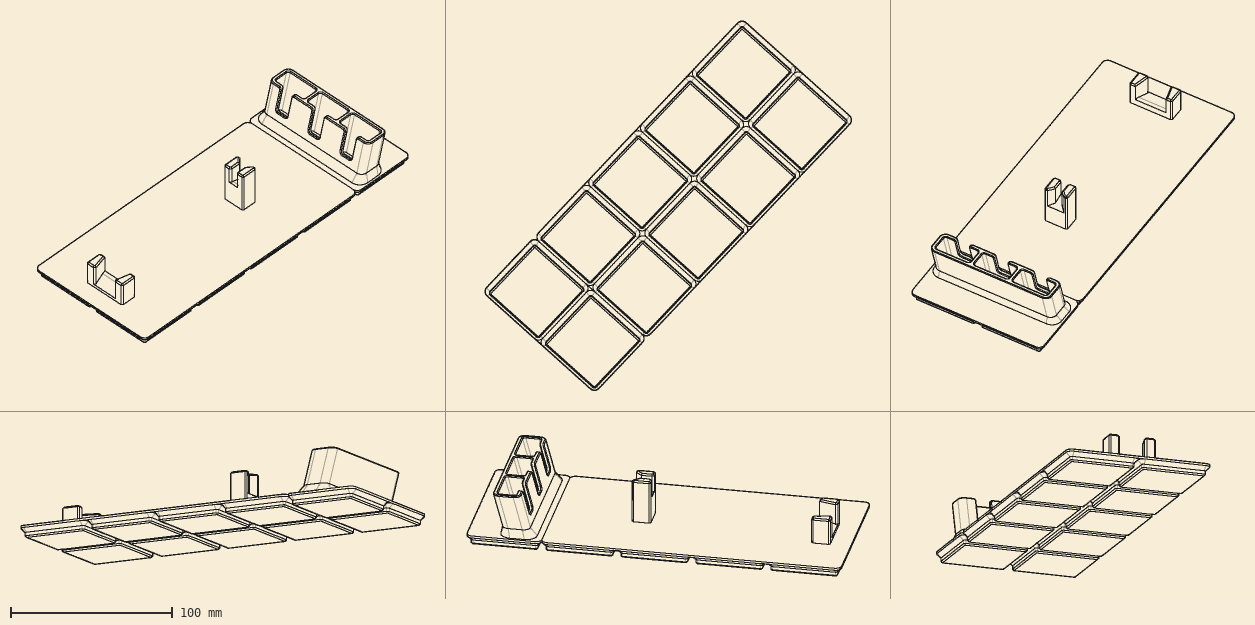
import cadquery as cq
import math

PITCH = 47.3
COLUMNS = 2
SMALL_ROWS = 1
LARGE_ROWS = 4
PLATE_TOP = 7.0
SHEET_BOTTOM = 5.7
PLATE_RADIUS = 3.8
FOOT_FLARE = 2.5
FOOT_CHAMFER = 1.0
PLATE_WIDTH = COLUMNS * PITCH
PLATE_LENGTH = (SMALL_ROWS + LARGE_ROWS) * PITCH
SEAM_Y = PLATE_LENGTH / 2 - SMALL_ROWS * PITCH

LEAN = math.tan(math.radians(15.0))
HOLDER_WIDTH = 86.0
HOLDER_DEPTH = 17.5
HOLDER_RADIUS = 4.3
HOLDER_TOP = 34.5
HOLDER_Y = 88.0
HOLDER_CHAMFER = 0.6
WALL = 2.8
CELLS = 3
CELL_RADIUS = 1.7
CELL_WIDTH = (HOLDER_WIDTH - (CELLS + 1) * WALL) / CELLS
CELL_DEPTH = HOLDER_DEPTH - 2 * WALL
CELL_PITCH = CELL_WIDTH + WALL
NOTCH_WIDTH = 9.5
NOTCH_BOTTOM = 17.7
NOTCH_RADIUS = 2.0
LIP_RADIUS = 2.0
SKIRT_TOP = 12.3
SKIRT_WIDTH = 91.5
SKIRT_DEPTH = 23.0
SKIRT_Y = 86.3
SKIRT_RADIUS = 6.9

POST_DEPTH = 11.8
POST_CHAMFER = 1.0
MOUTH_CHAMFER = 1.2
TALL_WIDTH = 16.3
TALL_TOP = 35.2
TALL_Y = 15.4
TALL_SLOT = 5.0
TALL_SLOT_BACK = 11.8
TALL_FLARE_DEPTH = 3.8
TALL_FLOOR = 23.5
TALL_LEDGE = 2.1
FORK_WIDTH = 30.7
FORK_TOP = 23.9
FORK_Y = -99.3
FORK_SLOT = 16.5
FORK_SLOT_BACK = 22.0
FORK_FLOOR = 11.5
FORK_LEDGE = 2.8


def rounded_prism(width, length, radius, bottom, top):
    """Upright block centred on the origin with rounded vertical edges."""
    block = cq.Workplane("XY").workplane(offset=bottom).rect(width, length).extrude(top - bottom)
    return block.edges("|Z").fillet(radius)


def make_foot():
    """One grid foot: chamfered bottom, straight wall, then a flare to the full cell."""
    wall_size = PITCH - 2 * FOOT_FLARE
    wall_radius = PLATE_RADIUS - FOOT_FLARE
    flare_bottom = SHEET_BOTTOM - FOOT_FLARE
    wall = rounded_prism(wall_size, wall_size, wall_radius, 0, SHEET_BOTTOM)
    wall = wall.faces("<Z").edges().chamfer(FOOT_CHAMFER)
    flare = rounded_prism(PITCH, PITCH, PLATE_RADIUS, flare_bottom, PLATE_TOP)
    flare = flare.faces("<Z").edges().chamfer(FOOT_FLARE)
    return wall.union(flare)


def make_plate(rows, centre_y):
    """Flat sheet with one foot under every grid cell."""
    plate = rounded_prism(PLATE_WIDTH, rows * PITCH, PLATE_RADIUS, SHEET_BOTTOM, PLATE_TOP)
    foot = make_foot()
    for column in range(COLUMNS):
        for row in range(rows):
            x = (column - (COLUMNS - 1) / 2) * PITCH
            y = (row - (rows - 1) / 2) * PITCH
            plate = plate.union(foot.translate((x, y, 0)))
    return plate.translate((0, centre_y, 0))


def rounded_wire(width, depth, radius, x, y, z):
    """Horizontal rounded rectangle."""
    block = rounded_prism(width, depth, radius, 0, 2.4)
    return block.faces("<Z").wires().val().translate(cq.Vector(x, y, z))


def lean_y(z):
    """Y of the leaning holder axis at height z."""
    return HOLDER_Y + (z - SKIRT_TOP) * LEAN


def leaning_prism(width, depth, radius, x, bottom, top):
    """Prism with level ends whose axis leans towards +Y."""
    wire = rounded_wire(width, depth, radius, x, lean_y(bottom), bottom)
    height = top - bottom
    return cq.Workplane(cq.Solid.extrudeLinear(wire, [], cq.Vector(0, height * LEAN, height)))


def cell_centres():
    """X positions of the cells, evenly spaced about the middle."""
    return [(i - (CELLS - 1) / 2) * CELL_PITCH for i in range(CELLS)]


def cell_cavity(x):
    """Space inside one cell, from the plate up to the rim."""
    return leaning_prism(CELL_WIDTH, CELL_DEPTH, CELL_RADIUS, x, PLATE_TOP, HOLDER_TOP)


def make_notch(x):
    """Cutter for a finger notch, square to the leaning front wall and chamfered on its outer edge."""
    height = 2 * (HOLDER_TOP - NOTCH_BOTTOM)
    profile = cq.Sketch().push([(0, height / 2)]).rect(NOTCH_WIDTH, height).reset()
    profile = profile.vertices("<Y").fillet(NOTCH_RADIUS)
    inner_end = cq.Workplane("XZ", origin=(0, WALL + CELL_RADIUS, 0))
    notch = inner_end.placeSketch(profile).extrude(WALL + CELL_RADIUS)
    chamfer_start = cq.Workplane("XZ", origin=(0, HOLDER_CHAMFER, 0))
    notch = notch.union(chamfer_start.placeSketch(profile).extrude(2 * HOLDER_CHAMFER, taper=-45))
    angle = math.degrees(math.atan(LEAN))
    front_y = lean_y(NOTCH_BOTTOM) - HOLDER_DEPTH / 2
    return notch.rotate((0, 0, 0), (1, 0, 0), -angle).translate((x, front_y, NOTCH_BOTTOM))


def notch_lips():
    """Selector for the short rim edges beside the notches."""
    wall_y = lean_y(HOLDER_TOP) - HOLDER_DEPTH / 2 + WALL / 2
    low = (-HOLDER_WIDTH / 2, wall_y - WALL, HOLDER_TOP - WALL)
    high = (HOLDER_WIDTH / 2, wall_y + WALL, HOLDER_TOP + WALL)
    return cq.selectors.BoxSelector(low, high)


def holder_block():
    """Solid leaning block from the plate to the rim."""
    return leaning_prism(HOLDER_WIDTH, HOLDER_DEPTH, HOLDER_RADIUS, 0, PLATE_TOP, HOLDER_TOP)


def make_holder():
    """Leaning holder with a row of open cells, each with a finger notch in its front wall."""
    holder = holder_block()
    for x in cell_centres():
        holder = holder.cut(cell_cavity(x)).cut(make_notch(x))
    holder = holder.edges("|Y").edges(notch_lips()).fillet(LIP_RADIUS)
    return holder.faces(">Z").edges().chamfer(HOLDER_CHAMFER)


def make_skirt():
    """Flared collar that tapers from the plate up to a line round the holder."""
    bottom = rounded_wire(SKIRT_WIDTH, SKIRT_DEPTH, SKIRT_RADIUS, 0, SKIRT_Y, PLATE_TOP)
    top = rounded_wire(HOLDER_WIDTH, HOLDER_DEPTH, HOLDER_RADIUS, 0, HOLDER_Y, SKIRT_TOP)
    flare = cq.Workplane(cq.Solid.makeLoft([bottom, top], True))
    return flare.cut(holder_block())


def make_slot(half_widths, floor, top):
    """Slot cutter from a plan given as (y, half width) pairs and a floor given as (y, z) pairs."""
    right = [(half, y) for y, half in half_widths]
    left = [(-half, y) for y, half in reversed(half_widths)]
    plan = cq.Workplane("XY").polyline(right + left).close().extrude(top)
    above = [(floor[-1][0], top), (floor[0][0], top)]
    side = cq.Workplane("YZ").polyline(floor + above).close().extrude(FORK_WIDTH, both=True)
    return plan.intersect(side)


def make_post(width, top, slot, centre_y):
    """Rectangular post on the plate with chamfered edges and a slot in its top."""
    post = cq.Workplane("XY").workplane(offset=PLATE_TOP).rect(width, POST_DEPTH).extrude(top - PLATE_TOP)
    post = post.edges("|Z").chamfer(POST_CHAMFER)
    post = post.cut(slot)
    post = post.faces(">Z").edges().chamfer(POST_CHAMFER)
    return post.translate((0, centre_y, 0))


def make_tall_post():
    """Post whose slot flares at the rear and whose slot floor falls towards the rear."""
    front = -POST_DEPTH / 2
    back = POST_DEPTH / 2
    narrow = TALL_SLOT / 2
    plan = [
        (front, narrow + MOUTH_CHAMFER),
        (front + MOUTH_CHAMFER, narrow),
        (back - TALL_FLARE_DEPTH, narrow),
        (back, TALL_SLOT_BACK / 2),
    ]
    ledge_end = front + TALL_LEDGE
    floor_back = TALL_FLOOR - (back - ledge_end) * LEAN
    floor = [(front, TALL_FLOOR), (ledge_end, TALL_FLOOR), (back, floor_back)]
    return make_post(TALL_WIDTH, TALL_TOP, make_slot(plan, floor, TALL_TOP), TALL_Y)


def make_fork():
    """Low post whose slot narrows towards the front and whose slot floor falls towards the front."""
    front = -POST_DEPTH / 2
    back = POST_DEPTH / 2
    narrow = FORK_SLOT / 2
    plan = [
        (front, narrow + MOUTH_CHAMFER),
        (front + MOUTH_CHAMFER, narrow),
        (back, FORK_SLOT_BACK / 2),
    ]
    ledge_end = back - FORK_LEDGE
    floor_front = FORK_FLOOR - (ledge_end - front) * LEAN
    floor = [(front, floor_front), (ledge_end, FORK_FLOOR), (back, FORK_FLOOR)]
    return make_post(FORK_WIDTH, FORK_TOP, make_slot(plan, floor, FORK_TOP), FORK_Y)


small_plate = make_plate(SMALL_ROWS, SEAM_Y + SMALL_ROWS * PITCH / 2)
large_plate = make_plate(LARGE_ROWS, SEAM_Y - LARGE_ROWS * PITCH / 2)
skirt = make_skirt()
holder = make_holder()
tall_post = make_tall_post()
fork = make_fork()

result = cq.Compound.makeCompound(
    [
        small_plate.val(),
        large_plate.val(),
        skirt.val(),
        holder.val(),
        tall_post.val(),
        fork.val(),
    ]
)